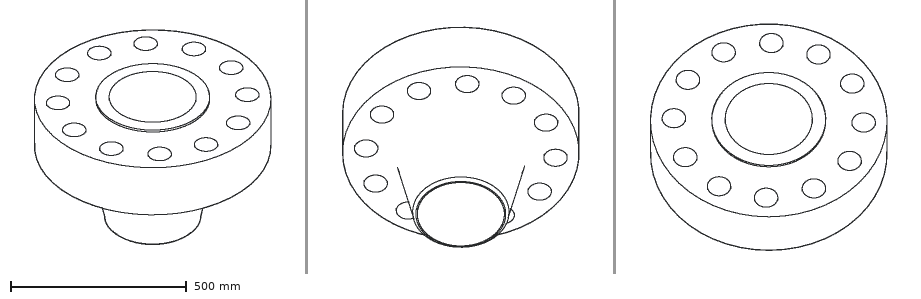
import cadquery as cq

flange_diameter = 673.0
total_height = 425.5

flange_thickness = 165.0
face_diameter = 324.5
face_height = 7.0
bore_diameter = 248.0

bolt_count = 12
bolt_circle_diameter = 540.0
bolt_hole_diameter = 66.5

hub_root_diameter = 377.0
hub_fillet_radius = 20.0
weld_end_diameter = 274.5
weld_end_height = 15.0
bevel_height = 9.0
bevel_width = 9.5

flange_top = total_height - face_height
flange_bottom = flange_top - flange_thickness


def make_hub():
    """Solid hub: bevel, straight weld end, then the taper up to the flange underside."""
    weld_end_radius = weld_end_diameter / 2
    return (
        cq.Workplane("XZ")
        .moveTo(0, 0)
        .lineTo(weld_end_radius - bevel_width, 0)
        .lineTo(weld_end_radius, bevel_height)
        .lineTo(weld_end_radius, weld_end_height)
        .lineTo(hub_root_diameter / 2, flange_bottom)
        .lineTo(0, flange_bottom)
        .close()
        .revolve(360, (0, 0, 0), (0, 1, 0))
    )


def make_disc(diameter, bottom, height):
    return cq.Workplane("XY").workplane(offset=bottom).circle(diameter / 2).extrude(height)


def fillet_hub_root(body):
    """Blend the taper into the flange; the root is the edge of that diameter at the flange underside."""
    margin = hub_root_diameter / 2 + hub_fillet_radius
    root_zone = cq.selectors.BoxSelector(
        (-margin, -margin, flange_bottom - face_height),
        (margin, margin, flange_bottom + face_height),
        boundingbox=True,
    )
    return body.edges(root_zone).fillet(hub_fillet_radius)


def make_bolt_holes():
    return (
        cq.Workplane("XY")
        .workplane(offset=flange_bottom)
        .polarArray(bolt_circle_diameter / 2, 0, 360, bolt_count)
        .circle(bolt_hole_diameter / 2)
        .extrude(flange_thickness)
    )


flange = make_disc(flange_diameter, flange_bottom, flange_thickness)
raised_face = make_disc(face_diameter, flange_top, face_height)
bore = make_disc(bore_diameter, 0, total_height)

hub_and_flange = fillet_hub_root(make_hub().union(flange))
result = hub_and_flange.union(raised_face).cut(bore).cut(make_bolt_holes())